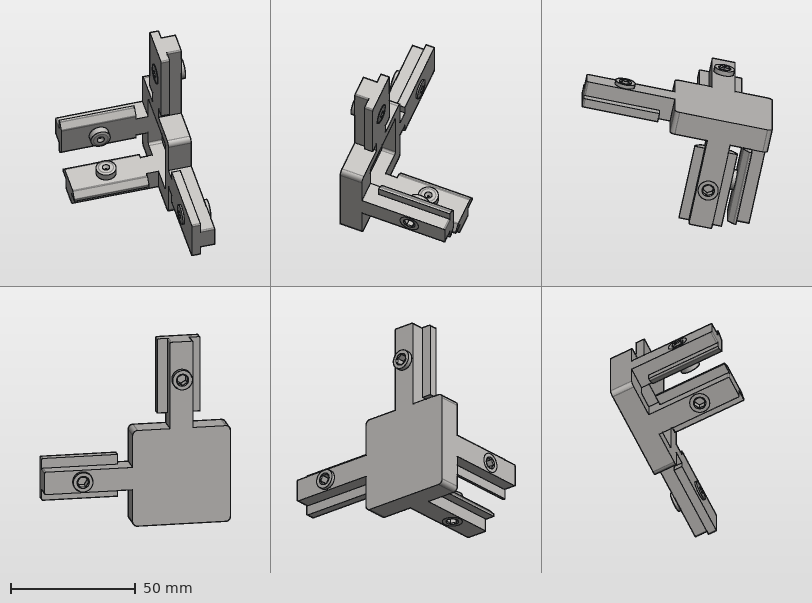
import cadquery as cq
import math

hub_size = 40.0
hub_depth = 9.5
hub_corner_radius = 2.0
hub_middle = hub_size / 2

pocket_start = 8.9
pocket_size = 26.2
pocket_depth = 5.8
pocket_corner_radius = 1.0

neck_length = 5.0
flange_length = 31.0
arm_length = neck_length + flange_length
stem_width = 9.35
flange_width = 17.5
flange_thickness = 3.6
tip_radius = 0.5

bevel_size = 2.5
bevel_upper_radius = 0.6
bevel_lower_radius = 0.2

screw_diameter = 8.05
screw_length = 12.0
screw_position = neck_length + flange_length / 2
point_flat_diameter = 6.0
point_chamfer_height = 0.3
cup_diameter = 3.0
cup_floor_diameter = 0.75
cup_depth = (cup_diameter - cup_floor_diameter) / 2
socket_across_flats = 4.0
socket_across_corners = socket_across_flats / math.cos(math.pi / 6)
socket_depth = 4.0
socket_mouth_diameter = 5.0
socket_mouth_depth = (socket_mouth_diameter - socket_across_flats) / 2

hub_front = arm_length
hub_back = hub_front + hub_depth

right_frame = cq.Plane(origin=(hub_size, hub_back, hub_middle), xDir=(1, 0, 0), normal=(0, -1, 0))
upper_frame = cq.Plane(origin=(hub_middle, hub_back, hub_size), xDir=(0, 0, 1), normal=(0, -1, 0))
side_frame = cq.Plane(origin=(0, hub_front, hub_middle), xDir=(0, -1, 0), normal=(1, 0, 0))
lower_frame = cq.Plane(origin=(hub_middle, hub_front, 0), xDir=(0, -1, 0), normal=(0, 0, 1))

back_arm_frames = [right_frame, upper_frame]
front_arm_frames = [side_frame, lower_frame]

screw_seats = [
    (right_frame, -1.5),
    (upper_frame, -2.0),
    (side_frame, 0),
    (lower_frame, 0),
]


def make_hub():
    """Square block with rounded corners and a blind pocket in its front face."""
    block = (
        cq.Workplane("XY")
        .box(hub_size, hub_depth, hub_size, centered=False)
        .translate((0, hub_front, 0))
        .edges("|Y")
        .fillet(hub_corner_radius)
    )
    pocket = (
        cq.Workplane("XY")
        .box(pocket_size, pocket_depth, pocket_size, centered=False)
        .translate((pocket_start, hub_front, pocket_start))
        .edges("|Y")
        .fillet(pocket_corner_radius)
    )
    return block.cut(pocket)


def make_stem(thickness):
    """Full-length bar of an arm, with the side edges of its tip rounded."""
    return (
        cq.Workplane("XY")
        .box(arm_length, stem_width, thickness, centered=(False, True, False))
        .edges("|Z and >X")
        .fillet(tip_radius)
    )


def make_flange():
    """Plain wide plate that covers the arm beyond its neck."""
    return (
        cq.Workplane("XY")
        .box(flange_length, flange_width, flange_thickness, centered=(False, True, False))
        .translate((neck_length, 0, 0))
    )


def make_back_arm():
    """Arm as thick as the hub, with a square-sided flange rounded at the tip."""
    flange = make_flange().edges("|Z and >X").fillet(tip_radius)
    flange = flange.translate((0, 0, hub_depth - flange_thickness))
    return make_stem(hub_depth).union(flange)


def make_front_arm():
    """Arm as thick as the hub wall beside the pocket, with slanted flange sides."""
    flange = (
        make_flange()
        .edges("|X and >Z")
        .chamfer(bevel_size)
        .edges("|X and (not <Z) and (not >Z)")
        .fillet(bevel_lower_radius)
        .faces(">Z").edges("|X")
        .fillet(bevel_upper_radius)
        .translate((0, 0, pocket_start - flange_thickness))
    )
    stem = make_stem(pocket_start - flange_thickness)
    neck = cq.Workplane("XY").box(neck_length, stem_width, pocket_start, centered=(False, True, False))
    return stem.union(neck).union(flange)


def make_screw():
    """Set screw along local z, standing on its socket end."""
    body = (
        cq.Workplane("XY")
        .circle(screw_diameter / 2)
        .extrude(screw_length)
        .faces(">Z")
        .chamfer(point_chamfer_height, (screw_diameter - point_flat_diameter) / 2)
    )
    cup = cq.Solid.makeCone(
        cup_floor_diameter / 2, cup_diameter / 2, cup_depth,
        pnt=(0, 0, screw_length - cup_depth),
    )
    socket = cq.Workplane("XY").polygon(6, socket_across_corners).extrude(socket_depth)
    mouth = cq.Solid.makeCone(socket_mouth_diameter / 2, socket_across_flats / 2, socket_mouth_depth)
    return body.cut(cq.Workplane(cup)).cut(socket).cut(cq.Workplane(mouth))


def place(shape, frame):
    """Move a shape from local coordinates into an arm's frame."""
    return cq.Workplane(shape.val().moved(cq.Location(frame)))


bracket = make_hub()
for frame in back_arm_frames:
    bracket = bracket.union(place(make_back_arm(), frame))
for frame in front_arm_frames:
    bracket = bracket.union(place(make_front_arm(), frame))

screws = []
for frame, seat in screw_seats:
    screw_hole = cq.Workplane("XY").circle(screw_diameter / 2).extrude(screw_length)
    bracket = bracket.cut(place(screw_hole.translate((screw_position, 0, seat)), frame))
    screws.append(place(make_screw().translate((screw_position, 0, seat)), frame).val())

result = cq.Compound.makeCompound([bracket.val(), *screws])